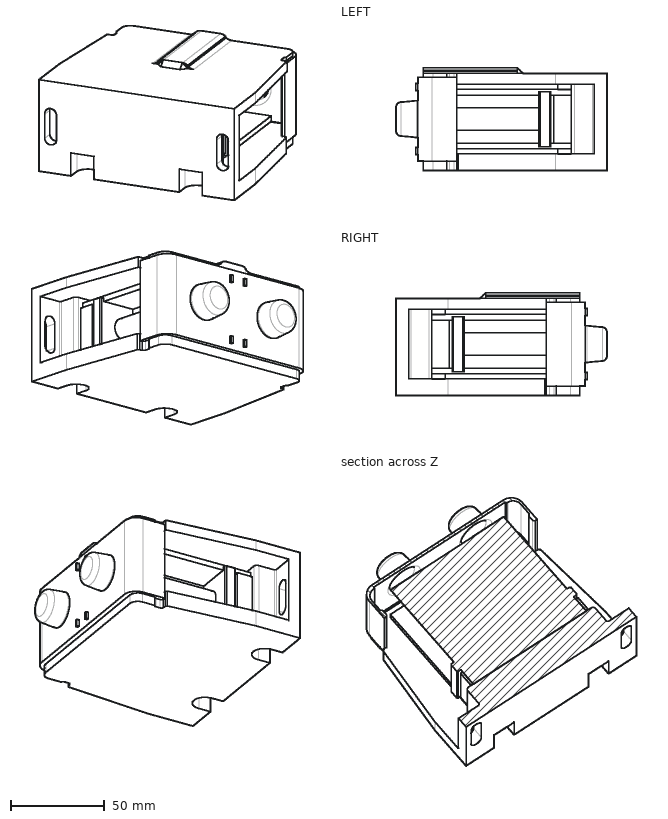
import cadquery as cq
import math


FRONT_HALF_WIDTH = 57.0
HOUSING_HEIGHT = 52.0
TAPER_START_Y = 27.6
SHOULDER_Y = 80.3
SHOULDER_HALF_WIDTH = 52.4
NOSE_HALF_WIDTH = 49.7
NOSE_END_Y = 98.2
NOSE_RADIUS = 5.0
SHOULDER_CHAMFER = 0.9

WINDOW_BOTTOM = 9.0
WINDOW_TOP = 46.0
WINDOW_START_Y = 7.0
WINDOW_HEIGHT = WINDOW_TOP - WINDOW_BOTTOM
MID_Z = (WINDOW_BOTTOM + WINDOW_TOP) / 2

BLOCK_HALF_WIDTH = 42.8
BLOCK_END_Y = 19.3
BLOCK_REAR_RADIUS = 1.8
BLOCK_ROOT_RADIUS = 0.9

RAIL_HALF_WIDTH = 28.5
RAIL_START_Y = 26.2

SLOT_X = 50.2
SLOT_WIDTH = 6.8
SLOT_HEIGHT = 20.5
SLOT_Z = 26.2

NOTCH_X = 31.6
NOTCH_WIDTH = 13.3
NOTCH_STRAIGHT = 7.4
NOTCH_HEIGHT = 13.1

RIB_TOP = 55.0
RIB_TOP_HALF_WIDTH = 5.6
RIB_WAIST_HALF_WIDTH = 8.7
RIB_TOE_HALF_WIDTH = 12.0
RIB_WAIST_TOP = 1.7
RIB_WAIST_BOTTOM = 1.0
WAIST_SLANT = 0.3
CREST_BULGE = 0.3
TOE_HOLLOW = 0.17
RIB_START_Y = 48.0
RIB_TIP_Y = 44.9

CAP_HALF_WIDTH = 51.2
CAP_END_Y = 101.0
CAP_RADIUS = 7.3
CAP_MARGIN = 3.9
CAP_BOTTOM = WINDOW_BOTTOM - CAP_MARGIN
CAP_HEIGHT = WINDOW_HEIGHT + 2 * CAP_MARGIN
HOOK_HALF_GAP = 48.7
HOOK_LENGTH = 5.5
HOOK_RADIUS = 1.5
RECESS_END_Y = 99.1
RECESS_HALF_WIDTH = 44.0
GROOVE_DEPTH = 0.6

AXIS_X = 23.9
KNOB_BASE_RADIUS = 9.9
KNOB_TOP_RADIUS = 8.9
KNOB_COLLAR = 0.9
KNOB_END_Y = 112.7
KNOB_ROUND = 2.8
HOLLOW_MOUTH_RADIUS = 8.5
HOLLOW_END_RADIUS = 7.5
HOLLOW_END_Y = 111.0
MOUTH_ROUND = 2.3

NUB_X = 4.9
NUB_WIDTH = 1.4
NUB_LENGTH = 1.3
NUB_HEIGHT = 3.9
NUB_OFFSET_Z = 17.1

PLATE_HALF_WIDTH = 37.8
PLATE_THICKNESS = 3.1
PLATE_CLEARANCE = 2.6
PLATE_END_Y = 92.6
CARRIER_BOTTOM = WINDOW_BOTTOM + PLATE_CLEARANCE
CARRIER_TOP = WINDOW_TOP - PLATE_CLEARANCE
CROSS_WALL_HALF_WIDTH = 39.2
CROSS_WALL_END_Y = 28.5
WEB_HALF_WIDTH = 17.1
FLANGE_HALF_WIDTH = 40.1
FLANGE_START_Y = 30.1
FLANGE_END_Y = 36.4
FLANGE_HEIGHT = 29.3
FLANGE_REAR_CHAMFER = 0.7
FLANGE_FRONT_CHAMFER = 0.6
ROD_RADIUS = 6.0


def box_between(half_width, y_start, y_end, z_bottom, z_top):
    """Box centred on X = 0."""
    return (
        cq.Workplane("XY")
        .box(2 * half_width, y_end - y_start, z_top - z_bottom, centered=(True, False, False))
        .translate((0, y_start, z_bottom))
    )


def make_hooks(z_bottom, height):
    """Rounded bulges at the ends of the cap legs, also the grooves that they fill."""
    depth = CAP_HALF_WIDTH - HOOK_HALF_GAP
    hook = (
        cq.Workplane("XY")
        .box(depth, HOOK_LENGTH, height, centered=False)
        .edges("|Z and <X")
        .fillet(HOOK_RADIUS)
        .translate((HOOK_HALF_GAP, SHOULDER_Y, z_bottom))
    )
    return hook.union(hook.mirror("YZ"))


def make_nose():
    """Full-height rear part of the housing, without the hook grooves."""
    return (
        box_between(NOSE_HALF_WIDTH, SHOULDER_Y, NOSE_END_Y, 0, HOUSING_HEIGHT)
        .edges("|Z and >Y")
        .fillet(NOSE_RADIUS)
    )


def make_rib_tip():
    """Faceted front end of the rib: a slope with a triangular facet on each side."""
    z_base = HOUSING_HEIGHT
    base_left = (-RIB_WAIST_HALF_WIDTH, RIB_START_Y, z_base)
    base_right = (RIB_WAIST_HALF_WIDTH, RIB_START_Y, z_base)
    tip_left = (-RIB_TOP_HALF_WIDTH, RIB_TIP_Y, z_base)
    tip_right = (RIB_TOP_HALF_WIDTH, RIB_TIP_Y, z_base)
    top_left = (-RIB_TOP_HALF_WIDTH, RIB_START_Y, RIB_TOP)
    top_right = (RIB_TOP_HALF_WIDTH, RIB_START_Y, RIB_TOP)
    outlines = [
        (base_left, tip_left, tip_right, base_right),
        (base_left, base_right, top_right, top_left),
        (tip_left, top_left, top_right, tip_right),
        (base_left, top_left, tip_left),
        (base_right, tip_right, top_right),
    ]
    faces = []
    for corners in outlines:
        wire = cq.Wire.makePolygon([cq.Vector(*corner) for corner in corners], close=True)
        faces.append(cq.Face.makeFromWires(wire))
    return cq.Workplane(cq.Solid.makeSolid(cq.Shell.makeShell(faces)))


def make_rib():
    """Rib with a rounded crest, a short steep waist and a hollow toe on each side."""
    z_waist_top = HOUSING_HEIGHT + RIB_WAIST_TOP
    z_waist_bottom = HOUSING_HEIGHT + RIB_WAIST_BOTTOM
    half = (
        cq.Workplane("XZ", origin=(0, NOSE_END_Y, 0))
        .moveTo(0, HOUSING_HEIGHT)
        .lineTo(0, RIB_TOP)
        .lineTo(RIB_TOP_HALF_WIDTH, RIB_TOP)
        .sagittaArc((RIB_WAIST_HALF_WIDTH, z_waist_top), CREST_BULGE)
        .lineTo(RIB_WAIST_HALF_WIDTH + WAIST_SLANT, z_waist_bottom)
        .sagittaArc((RIB_TOE_HALF_WIDTH, HOUSING_HEIGHT), -TOE_HOLLOW)
        .close()
        .extrude(NOSE_END_Y - RIB_START_Y)
    )
    return half.union(half.mirror("YZ")).union(make_rib_tip())


def make_front_block():
    """Block behind the front wall, rounded at the back and filleted into the wall."""
    block = (
        box_between(BLOCK_HALF_WIDTH, WINDOW_START_Y, BLOCK_END_Y, WINDOW_BOTTOM, WINDOW_TOP)
        .edges("|Z and >Y")
        .fillet(BLOCK_REAR_RADIUS)
    )
    root_x = BLOCK_HALF_WIDTH + BLOCK_ROOT_RADIUS
    root_y = WINDOW_START_Y + BLOCK_ROOT_RADIUS
    arc_offset = BLOCK_ROOT_RADIUS * math.sqrt(0.5)
    root = (
        cq.Workplane("XY", origin=(0, 0, WINDOW_BOTTOM))
        .moveTo(BLOCK_HALF_WIDTH, WINDOW_START_Y)
        .lineTo(root_x, WINDOW_START_Y)
        .threePointArc((root_x - arc_offset, root_y - arc_offset), (BLOCK_HALF_WIDTH, root_y))
        .close()
        .extrude(WINDOW_HEIGHT)
    )
    return block.union(root).union(root.mirror("YZ"))


def make_notch():
    """Round-ended screw notch, open to the front and the underside."""
    radius = NOTCH_WIDTH / 2
    return (
        box_between(radius, 0, NOTCH_STRAIGHT, 0, NOTCH_HEIGHT)
        .union(cq.Workplane("XY").center(0, NOTCH_STRAIGHT).circle(radius).extrude(NOTCH_HEIGHT))
    )


def make_housing():
    main = (
        cq.Workplane("XY")
        .polyline([
            (-FRONT_HALF_WIDTH, 0),
            (FRONT_HALF_WIDTH, 0),
            (FRONT_HALF_WIDTH, TAPER_START_Y),
            (SHOULDER_HALF_WIDTH, SHOULDER_Y),
            (-SHOULDER_HALF_WIDTH, SHOULDER_Y),
            (-FRONT_HALF_WIDTH, TAPER_START_Y),
        ])
        .close()
        .extrude(HOUSING_HEIGHT)
    )
    window = box_between(FRONT_HALF_WIDTH, WINDOW_START_Y, NOSE_END_Y, WINDOW_BOTTOM, WINDOW_TOP)
    housing = main.union(make_nose()).cut(make_hooks(0, HOUSING_HEIGHT)).cut(window)

    for side in (-1, 1):
        corner = (side * SHOULDER_HALF_WIDTH, SHOULDER_Y, WINDOW_BOTTOM / 2)
        housing = housing.edges(cq.selectors.NearestToPointSelector(corner)).chamfer(SHOULDER_CHAMFER)

    housing = housing.union(make_front_block()).union(make_rib())

    for bottom, top in ((WINDOW_BOTTOM, CARRIER_BOTTOM), (CARRIER_TOP, WINDOW_TOP)):
        housing = housing.union(box_between(RAIL_HALF_WIDTH, RAIL_START_Y, PLATE_END_Y, bottom, top))

    slots = (
        cq.Workplane("XZ")
        .pushPoints([(-SLOT_X, SLOT_Z), (SLOT_X, SLOT_Z)])
        .slot2D(SLOT_HEIGHT, SLOT_WIDTH, 90)
        .extrude(-WINDOW_START_Y)
    )
    housing = housing.cut(slots)
    for x in (-NOTCH_X, NOTCH_X):
        housing = housing.cut(make_notch().translate((x, 0, 0)))
    return housing


def make_knob():
    """Tapered round knob on a short collar, with a rounded end, pointing along +Y."""
    knob = (
        cq.Workplane("XY")
        .moveTo(0, CAP_END_Y)
        .lineTo(-KNOB_BASE_RADIUS, CAP_END_Y)
        .lineTo(-KNOB_BASE_RADIUS, CAP_END_Y + KNOB_COLLAR)
        .lineTo(-KNOB_TOP_RADIUS, KNOB_END_Y)
        .lineTo(0, KNOB_END_Y)
        .close()
        .revolve(360, (0, 0, 0), (0, 1, 0))
    )
    return knob.faces(">Y").edges().fillet(KNOB_ROUND)


def make_knob_hollow():
    """Tapered cavity of a knob, with a rounded mouth on the inside of the cap."""
    mouth_y = RECESS_END_Y + MOUTH_ROUND
    arc_offset = MOUTH_ROUND * (1 - math.sqrt(0.5))
    return (
        cq.Workplane("XY")
        .moveTo(0, RECESS_END_Y)
        .lineTo(-HOLLOW_MOUTH_RADIUS - MOUTH_ROUND, RECESS_END_Y)
        .threePointArc(
            (-HOLLOW_MOUTH_RADIUS - arc_offset, RECESS_END_Y + arc_offset),
            (-HOLLOW_MOUTH_RADIUS, mouth_y),
        )
        .lineTo(-HOLLOW_END_RADIUS, HOLLOW_END_Y)
        .lineTo(0, HOLLOW_END_Y)
        .close()
        .revolve(360, (0, 0, 0), (0, 1, 0))
    )


def make_cap():
    cap_top = CAP_BOTTOM + CAP_HEIGHT
    cap = (
        box_between(CAP_HALF_WIDTH, SHOULDER_Y, CAP_END_Y, CAP_BOTTOM, cap_top)
        .edges("|Z and >Y")
        .fillet(CAP_RADIUS)
        .cut(make_nose())
        .union(make_hooks(CAP_BOTTOM, CAP_HEIGHT))
    )

    groove_bottom = cap_top - GROOVE_DEPTH
    for bottom, top in ((groove_bottom, cap_top), (WINDOW_BOTTOM, WINDOW_TOP)):
        cap = cap.cut(box_between(RECESS_HALF_WIDTH, NOSE_END_Y, RECESS_END_Y, bottom, top))

    for x in (-AXIS_X, AXIS_X):
        cap = cap.union(make_knob().translate((x, 0, MID_Z)))
        cap = cap.cut(make_knob_hollow().translate((x, 0, MID_Z)))
    for x in (-NUB_X, NUB_X):
        for z in (MID_Z - NUB_OFFSET_Z, MID_Z + NUB_OFFSET_Z):
            nub = cq.Workplane("XY").box(NUB_WIDTH, NUB_LENGTH, NUB_HEIGHT, centered=(True, False, True))
            cap = cap.union(nub.translate((x, CAP_END_Y, z)))
    return cap


def make_carrier():
    """Two plates joined by a web and a cross wall, with a flange and two rods."""
    inner_bottom = CARRIER_BOTTOM + PLATE_THICKNESS
    inner_top = CARRIER_TOP - PLATE_THICKNESS
    carrier = (
        box_between(PLATE_HALF_WIDTH, BLOCK_END_Y, PLATE_END_Y, CARRIER_BOTTOM, inner_bottom)
        .union(box_between(PLATE_HALF_WIDTH, BLOCK_END_Y, PLATE_END_Y, inner_top, CARRIER_TOP))
        .union(box_between(WEB_HALF_WIDTH, BLOCK_END_Y, PLATE_END_Y, inner_bottom, inner_top))
        .union(box_between(CROSS_WALL_HALF_WIDTH, BLOCK_END_Y, CROSS_WALL_END_Y, inner_bottom, inner_top))
    )
    flange_bottom = MID_Z - FLANGE_HEIGHT / 2
    flange_top = MID_Z + FLANGE_HEIGHT / 2
    flange = (
        box_between(FLANGE_HALF_WIDTH, FLANGE_START_Y, FLANGE_END_Y, flange_bottom, flange_top)
        .edges("|Z and >Y")
        .chamfer(FLANGE_REAR_CHAMFER)
        .edges("|Z and <Y")
        .chamfer(FLANGE_FRONT_CHAMFER)
    )
    rods = (
        cq.Workplane("XZ", origin=(0, FLANGE_START_Y, 0))
        .pushPoints([(-AXIS_X, MID_Z), (AXIS_X, MID_Z)])
        .circle(ROD_RADIUS)
        .extrude(FLANGE_START_Y - PLATE_END_Y)
    )
    return carrier.union(flange).union(rods)


housing = make_housing()
cap = make_cap()
carrier = make_carrier()

result = cq.Compound.makeCompound([housing.solids().val(), cap.solids().val(), carrier.solids().val()])